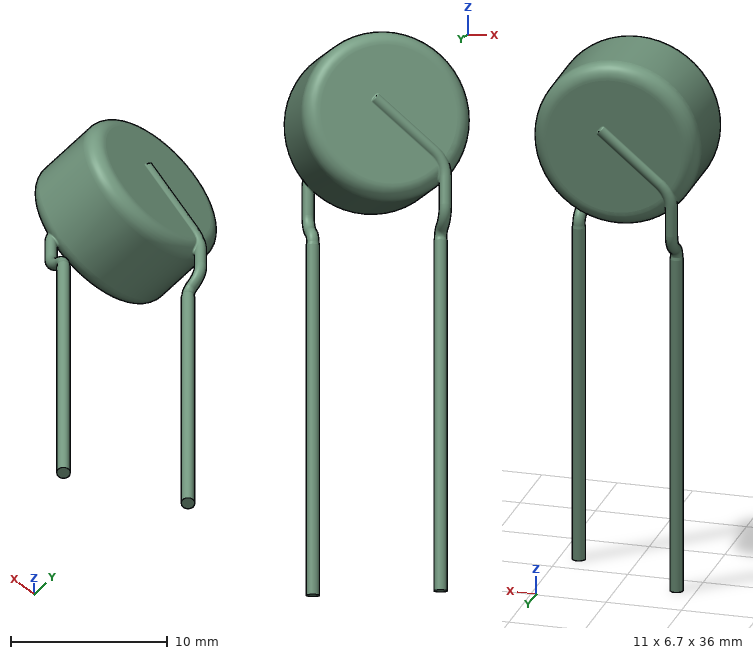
import cadquery as cq
import math

DISC_DIAMETER = 11.0
DISC_THICKNESS = 6.25
DISC_FILLET = 1.0

OVERALL_HEIGHT = 36.0
OVERALL_DEPTH = 6.7
WIRE_DIAMETER = 0.8
PIN_DIAMETER = 0.85
LEAD_X = 3.75
PIN_Y = 1.75
TIP_X = -0.95
TIP_SLOPE = 40.0
FACE_BEND_RADIUS = 2.1
FACE_BEND_BOTTOM = -3.85
OFFSET_TOP = -5.7
OFFSET_BOTTOM = -7.6
OFFSET_BEND_RADIUS = 1.35
SHOULDER_HEIGHT = 0.18
SEAM_FILLET = 0.1

WIRE_Y = (OVERALL_DEPTH - WIRE_DIAMETER) / 2
PIN_BOTTOM = DISC_DIAMETER / 2 - OVERALL_HEIGHT
SHOULDER_BOTTOM = OFFSET_BOTTOM - SHOULDER_HEIGHT


def make_disc():
    """Round body with both rims filleted."""
    return (
        cq.Workplane("XZ")
        .circle(DISC_DIAMETER / 2)
        .extrude(DISC_THICKNESS)
        .translate((0, DISC_THICKNESS / 2, 0))
        .edges()
        .fillet(DISC_FILLET)
    )


def wire_path():
    """Centreline of the front wire, from the top of the pin to the free end."""
    slope = math.radians(TIP_SLOPE)
    turn = math.pi / 2 - slope
    bend_end_x = LEAD_X - FACE_BEND_RADIUS * (1 - math.cos(turn))
    bend_end_z = FACE_BEND_BOTTOM + FACE_BEND_RADIUS * math.sin(turn)
    tip_z = bend_end_z + (bend_end_x - TIP_X) * math.tan(slope)

    offset_turn = 2 * math.atan2(WIRE_Y - PIN_Y, OFFSET_TOP - OFFSET_BOTTOM)
    offset_middle_y = -WIRE_Y + OFFSET_BEND_RADIUS * (1 - math.cos(offset_turn))
    offset_middle_z = OFFSET_TOP - OFFSET_BEND_RADIUS * math.sin(offset_turn)

    pin_top = cq.Vector(LEAD_X, -PIN_Y, OFFSET_BOTTOM)
    offset_middle = cq.Vector(LEAD_X, offset_middle_y, offset_middle_z)
    offset_top = cq.Vector(LEAD_X, -WIRE_Y, OFFSET_TOP)
    bend_bottom = cq.Vector(LEAD_X, -WIRE_Y, FACE_BEND_BOTTOM)
    bend_end = cq.Vector(bend_end_x, -WIRE_Y, bend_end_z)
    tip = cq.Vector(TIP_X, -WIRE_Y, tip_z)

    up = cq.Vector(0, 0, 1)
    lower_arc = cq.Edge.makeTangentArc(pin_top, up, offset_middle)
    upper_arc = cq.Edge.makeTangentArc(offset_middle, lower_arc.tangentAt(1), offset_top)
    straight = cq.Edge.makeLine(offset_top, bend_bottom)
    face_arc = cq.Edge.makeTangentArc(bend_bottom, up, bend_end)
    slanted = cq.Edge.makeLine(bend_end, tip)
    return cq.Wire.assembleEdges([lower_arc, upper_arc, straight, face_arc, slanted])


def make_pin():
    """Straight pin, tapering at its top to the wire diameter."""
    profile = (
        cq.Workplane("XZ")
        .moveTo(0, PIN_BOTTOM)
        .lineTo(PIN_DIAMETER / 2, PIN_BOTTOM)
        .lineTo(PIN_DIAMETER / 2, SHOULDER_BOTTOM)
        .lineTo(WIRE_DIAMETER / 2, OFFSET_BOTTOM)
        .lineTo(0, OFFSET_BOTTOM)
        .close()
    )
    return profile.revolve(360, (0, 0, 0), (0, 1, 0)).translate((LEAD_X, -PIN_Y, 0))


def make_lead():
    """Front lead: swept wire and its pin."""
    wire = (
        cq.Workplane("XY", origin=(LEAD_X, -PIN_Y, OFFSET_BOTTOM))
        .circle(WIRE_DIAMETER / 2)
        .sweep(wire_path())
    )
    return wire.union(make_pin())


def edge_key(edge):
    """Rounded position and length, enough to tell edges apart."""
    centre = edge.Center()
    return tuple(round(value, 3) for value in (centre.x, centre.y, centre.z, edge.Length()))


def join_with_fillet(disc, lead):
    """Fuse a lead to the disc and fillet the seam, i.e. the edges that the fusion created."""
    joined = disc.union(lead)
    old_keys = {edge_key(edge) for part in (disc, lead) for edge in part.edges().vals()}
    seam = [edge for edge in joined.edges().vals() if edge_key(edge) not in old_keys]
    return cq.Workplane(joined.val().fillet(SEAM_FILLET, seam))


front_lead = make_lead()
back_lead = front_lead.rotate((0, 0, 0), (0, 0, 1), 180)
result = join_with_fillet(join_with_fillet(make_disc(), front_lead), back_lead)